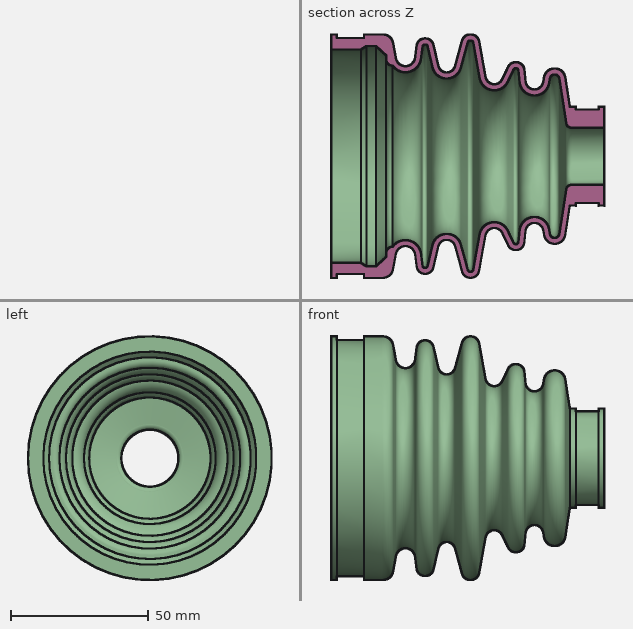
import cadquery as cq
import math


length = 99.5
collar_radius = 88.9 / 2
bellows_wall = 2.3

rim_width = 2.1
clamp_groove_end = 11.9
clamp_groove_radius = 43.1

entry_bore_radius = 38.8
entry_bore_depth = 10.8
recess_start = 12.8
recess_end = 16.3
recess_radius = 40.1
taper_end_radius = 36.7
lip_radius = 35.3
lip_round = 2.4

neck_start = 87.0
neck_radius = 18.1
neck_groove_start = 89.2
neck_groove_radius = 17.1
neck_bore_radius = 10.35
neck_bore_round = 2.0

outer_tips = [
    (18.8, collar_radius, 3.9),
    (27.1, 32.8, 3.5),
    (34.2, 43.0, 3.2),
    (42.1, 30.6, 3.1),
    (50.8, collar_radius, 3.3),
    (59.4, 26.3, 3.2),
    (67.3, 34.3, 3.2),
    (74.0, 24.4, 3.2),
    (81.4, 32.0, 4.0),
]


def round_circles(wall):
    """Circles (X, radial centre, size, direction) of the rounds on the surface `wall` inside the outer one.

    The direction is +1 for a crest and -1 for a trough.
    """
    circles = []
    direction = 1
    for x, tip_radius, size in outer_tips:
        circles.append((x, tip_radius - direction * size, size - direction * wall, direction))
        direction = -direction
    return circles


def point_on(circle, angle):
    """Point of a circle at an angle measured from the +X direction."""
    x, centre, size, _ = circle
    return (x + size * math.cos(angle), centre + size * math.sin(angle))


def tangent_angle(circle, target, target_size):
    """Angle at which a straight flank leaves a round, tangent also to a target circle (or point, of size 0)."""
    x, centre, size, direction = circle
    dx = target[0] - x
    dy = target[1] - centre
    spread = math.acos((size + target_size) / math.hypot(dx, dy))
    return math.atan2(dy, dx) + direction * spread


def bellows_arcs(circles, first_angle, last_angle):
    """Start, middle and end points of each round, in order along X."""
    end_angles = [tangent_angle(a, b, b[2]) for a, b in zip(circles, circles[1:])] + [last_angle]
    arcs = []
    start_angle = first_angle
    for circle, end_angle in zip(circles, end_angles):
        middle_angle = (start_angle + end_angle) / 2
        arcs.append([point_on(circle, angle) for angle in (start_angle, middle_angle, end_angle)])
        start_angle = end_angle - circle[3] * math.pi
    return arcs


neck_corner = (neck_start, neck_radius)
outer_circles = round_circles(0)
end_wall_angle = tangent_angle(outer_circles[-1], neck_corner, 0)
outer_arcs = bellows_arcs(outer_circles, math.pi / 2, end_wall_angle)

inner_circles = round_circles(bellows_wall)[1:]
lip_end_radius = lip_radius - lip_round
_, trough_centre, trough_round, _ = inner_circles[0]
lip_end_angle = math.asin((trough_centre - lip_end_radius) / trough_round) - math.pi
lip_end = point_on(inner_circles[0], lip_end_angle)
lip_start = (lip_end[0] - lip_round, lip_radius)
inner_arcs = bellows_arcs(inner_circles, lip_end_angle, end_wall_angle)

neck_entry_radius = neck_bore_radius + neck_bore_round
wall_top = inner_arcs[-1][2]
neck_entry_x = wall_top[0] + (wall_top[1] - neck_entry_radius) * math.tan(end_wall_angle)


def add_outer_outline(profile):
    """Outside of the wall, from the collar face to the neck face."""
    profile = (
        profile.lineTo(0, collar_radius)
        .lineTo(rim_width, collar_radius)
        .lineTo(rim_width, clamp_groove_radius)
        .lineTo(clamp_groove_end, clamp_groove_radius)
        .lineTo(clamp_groove_end, collar_radius)
    )
    for start, middle, end in outer_arcs:
        profile = profile.lineTo(*start).threePointArc(middle, end)
    return (
        profile.lineTo(*neck_corner)
        .lineTo(neck_groove_start, neck_radius)
        .lineTo(neck_groove_start, neck_groove_radius)
        .lineTo(length - rim_width, neck_groove_radius)
        .lineTo(length - rim_width, neck_radius)
        .lineTo(length, neck_radius)
    )


def add_inner_outline(profile):
    """Inside of the wall, from the neck face back to the collar bore."""
    profile = (
        profile.lineTo(length, neck_bore_radius)
        .lineTo(neck_entry_x + neck_bore_round, neck_bore_radius)
        .radiusArc((neck_entry_x, neck_entry_radius), neck_bore_round)
    )
    for start, middle, end in reversed(inner_arcs):
        profile = profile.lineTo(*end).threePointArc(middle, start)
    return (
        profile.radiusArc(lip_start, lip_round)
        .lineTo(lip_start[0], taper_end_radius)
        .lineTo(recess_end, recess_radius)
        .lineTo(recess_start, recess_radius)
        .lineTo(entry_bore_depth, entry_bore_radius)
    )


profile = cq.Workplane("XY").moveTo(0, entry_bore_radius)
profile = add_inner_outline(add_outer_outline(profile))
result = profile.close().revolve(360, (0, 0, 0), (1, 0, 0))